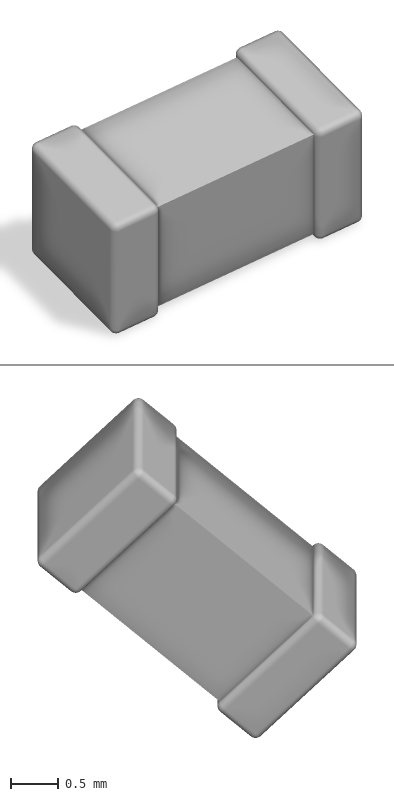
import cadquery as cq

width = 1.6
length = 3.2
height = 1.6

cap_length = 0.6
edge_radius = 0.08

body_width = width - 2 * edge_radius
body_height = height - 2 * edge_radius
body_length = length - 2 * cap_length


def make_body():
    """Plain block spanning the gap between the two caps."""
    return cq.Workplane("XY").box(body_width, body_length, body_height)


def make_cap(side):
    """Cap with all edges rounded, at the -Y (side = -1) or +Y (side = 1) end."""
    center_y = side * (length - cap_length) / 2
    cap = cq.Workplane("XY").box(width, cap_length, height).edges().fillet(edge_radius)
    return cap.translate((0, center_y, 0))


result = make_body()
for side in (-1, 1):
    result = result.union(make_cap(side))